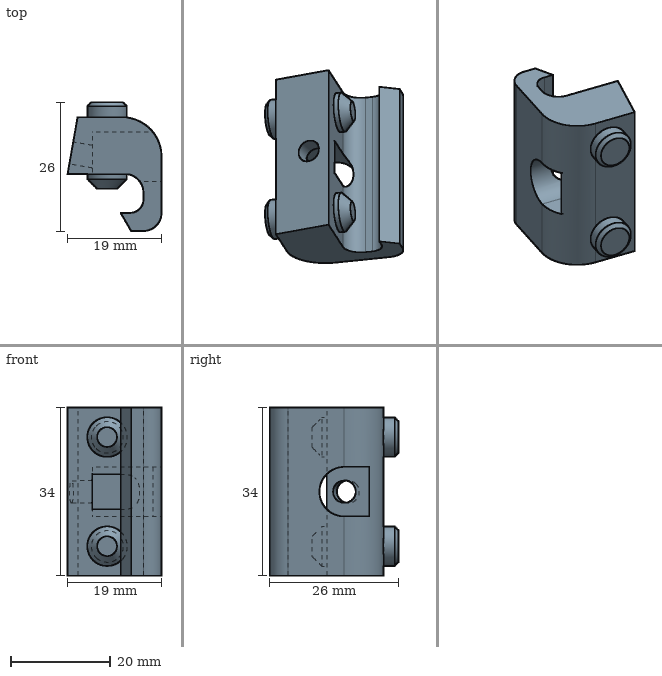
import cadquery as cq
import math

length = 34.0
width = 19.0
body_depth = 11.5
side_angle = math.radians(10.0)
back_corner_radius = 8.0

hook_reach = 11.5
hook_wall = 3.7
hook_outer_radius = 3.7
throat_upper_radius = 3.7
throat_lower_radius = 2.65
hook_tip_x = 10.7
hook_tip_angle = math.radians(30.0)

screw_diameter = 8.0
screw_x = 8.0
screw_spacing = 22.0
screw_back_y = 14.5
screw_front_y = -3.0
screw_back_chamfer = 0.8
screw_tip_chamfer = 2.0

slot_width = 10.0
slot_start_x = 5.0
slot_mouth = 7.0

side_hole_diameter = 4.5

slot_radius = slot_width / 2
slot_axis_y = math.sqrt(slot_radius**2 - (slot_mouth / 2) ** 2)


def arc_middle(center_x, center_y, radius, angle_degrees):
    """Point on a circle, used as the middle point of a corner arc."""
    angle = math.radians(angle_degrees)
    return (center_x + radius * math.cos(angle), center_y + radius * math.sin(angle))


def make_body():
    throat_x = width - hook_wall
    throat_y = hook_wall - hook_reach

    back_x = width - back_corner_radius
    back_y = body_depth - back_corner_radius
    outer_x = width - hook_outer_radius
    outer_y = hook_outer_radius - hook_reach
    upper_x = throat_x - throat_upper_radius
    lower_x = throat_x - throat_lower_radius
    lower_y = throat_y + throat_lower_radius

    profile = (
        cq.Workplane("XY")
        .workplane(offset=-length / 2)
        .moveTo(0, 0)
        .lineTo(body_depth * math.tan(side_angle), body_depth)
        .lineTo(back_x, body_depth)
        .threePointArc(arc_middle(back_x, back_y, back_corner_radius, 45), (width, back_y))
        .lineTo(width, outer_y)
        .threePointArc(arc_middle(outer_x, outer_y, hook_outer_radius, -45), (outer_x, -hook_reach))
        .lineTo(hook_tip_x + hook_wall * math.tan(hook_tip_angle), -hook_reach)
        .lineTo(hook_tip_x, throat_y)
        .lineTo(lower_x, throat_y)
        .threePointArc(arc_middle(lower_x, lower_y, throat_lower_radius, -45), (throat_x, lower_y))
        .lineTo(throat_x, -throat_upper_radius)
        .threePointArc(arc_middle(upper_x, -throat_upper_radius, throat_upper_radius, 45), (upper_x, 0))
        .close()
    )
    return profile.extrude(length)


def make_slot():
    """Half-round front on the slot axis and an equally deep square back behind it."""
    slot_length = width - slot_start_x
    round_front = (
        cq.Workplane("YZ", origin=(slot_start_x, slot_axis_y, 0))
        .circle(slot_radius)
        .extrude(slot_length)
    )
    square_back = cq.Workplane("XY").box(
        slot_length, slot_radius, slot_width, centered=(False, False, True)
    )
    return round_front.union(square_back.translate((slot_start_x, slot_axis_y, 0)))


def make_side_hole():
    """Hole whose axis meets the slot axis at the slot's end wall."""
    axis_direction = cq.Vector(-math.cos(side_angle), math.sin(side_angle), 0)
    axis_start = cq.Vector(slot_start_x, slot_axis_y, 0)
    overrun = side_hole_diameter / 2
    hole = cq.Solid.makeCylinder(
        side_hole_diameter / 2,
        slot_start_x + 2 * overrun,
        axis_start - axis_direction * overrun,
        axis_direction,
    )
    return cq.Workplane(obj=hole)


def make_screw(z):
    screw = (
        cq.Workplane("XZ", origin=(screw_x, screw_back_y, z))
        .circle(screw_diameter / 2)
        .extrude(screw_back_y - screw_front_y)
    )
    screw = screw.faces(">Y").chamfer(screw_back_chamfer)
    return screw.faces("<Y").chamfer(screw_tip_chamfer)


result = make_body().cut(make_slot()).cut(make_side_hole())
for screw_z in (-screw_spacing / 2, screw_spacing / 2):
    result = result.union(make_screw(screw_z))